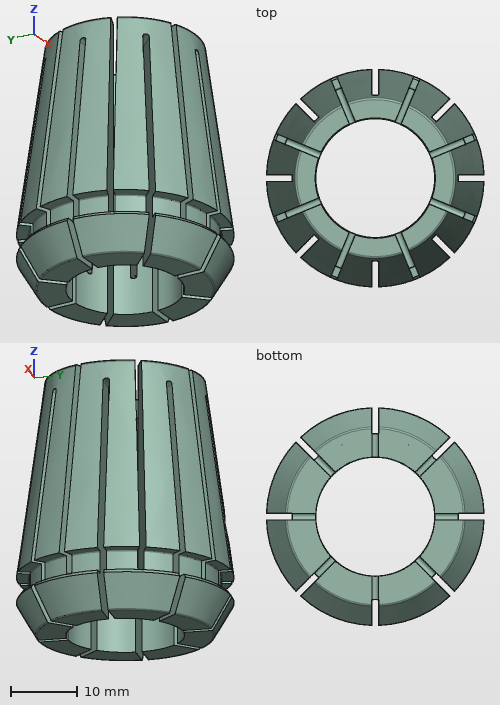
import cadquery as cq
import math

height = 40.0
bore_diameter = 18.0
max_diameter = 33.0
taper_angle = 8.0
taper_start_z = 9.1
nose_rim_fillet = 0.3
bore_edge_chamfer = 0.1

groove_diameter = 29.2
groove_fillet = 0.1
flange_top_z = 5.65
flange_top_diameter = 32.3
flange_widest_z = 5.1
base_diameter = 27.05
base_fillet = 0.3

slit_width = 1.0
slits_per_end = 8
lower_slit_end_z = 37.05
upper_slit_end_z = 5.95

bore_radius = bore_diameter / 2
max_radius = max_diameter / 2
slit_pitch = 360.0 / slits_per_end
slit_reach = max_diameter


def taper_radius(z):
    """Radius of the long locating taper at height z."""
    return max_radius - (z - taper_start_z) * math.tan(math.radians(taper_angle))


def fillet_circle(body, radius, z, fillet_radius):
    """Round the circular edge of the given radius at height z."""
    margin = 0.05
    on_level = body.edges(cq.selectors.BoxSelector(
        (-radius - margin, -radius - margin, z - margin),
        (radius + margin, radius + margin, z + margin),
        boundingbox=True,
    ))
    rim = on_level.filter(lambda edge: abs(edge.radius() - radius) < margin)
    return rim.fillet(fillet_radius)


def collet_body():
    """Revolved sleeve with the taper, the groove and the flange."""
    profile = [
        (bore_radius, 0),
        (base_diameter / 2, 0),
        (max_radius, flange_widest_z),
        (flange_top_diameter / 2, flange_top_z),
        (groove_diameter / 2, flange_top_z),
        (groove_diameter / 2, taper_start_z),
        (max_radius, taper_start_z),
        (taper_radius(height), height),
        (bore_radius + bore_edge_chamfer, height),
        (bore_radius, height - bore_edge_chamfer),
    ]
    body = cq.Workplane("XZ").polyline(profile).close().revolve(360, (0, 0), (0, 1))
    body = fillet_circle(body, taper_radius(height), height, nose_rim_fillet)
    body = fillet_circle(body, groove_diameter / 2, flange_top_z, groove_fillet)
    body = fillet_circle(body, groove_diameter / 2, taper_start_z, groove_fillet)
    return fillet_circle(body, base_diameter / 2, 0, base_fillet)


def slit(open_z, end_z, angle):
    """Radial slit running from the open end to a full-round end at end_z."""
    half_width = slit_width / 2
    toward_end = math.copysign(1, end_z - open_z)
    arc_start_z = end_z - toward_end * half_width
    return (
        cq.Workplane("YZ")
        .moveTo(-half_width, open_z)
        .lineTo(-half_width, arc_start_z)
        .threePointArc((0, end_z), (half_width, arc_start_z))
        .lineTo(half_width, open_z)
        .close()
        .extrude(slit_reach)
        .rotate((0, 0, 0), (0, 0, 1), angle)
    )


result = collet_body()
for index in range(slits_per_end):
    lower_angle = index * slit_pitch
    upper_angle = lower_angle + slit_pitch / 2
    result = result.cut(slit(0, lower_slit_end_z, lower_angle))
    result = result.cut(slit(height, upper_slit_end_z, upper_angle))